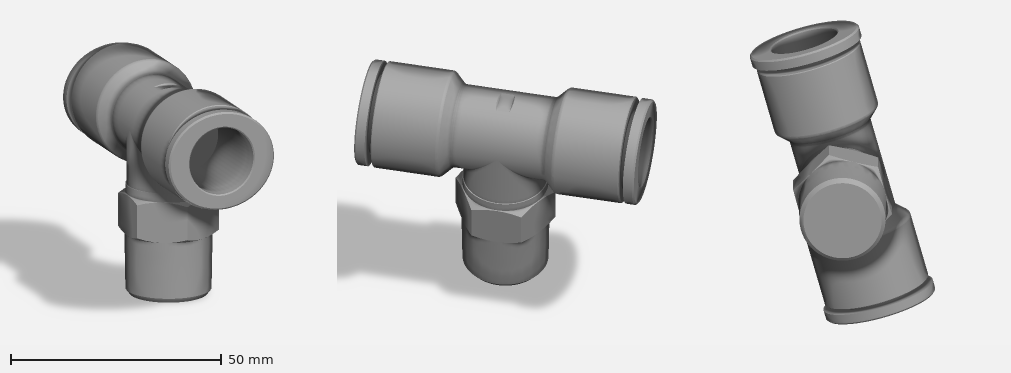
import cadquery as cq
import math

half_length = 34.0
collar_inner_x = 31.4
socket_outer_x = 30.1
cone_outer_x = 14.05
neck_radius = 10.0
socket_radius = 12.8
cone_inner_x = cone_outer_x - (socket_radius - neck_radius)
cone_fillet = 1.0
socket_rim_chamfer = 0.2

collar_width = 27.0
collar_height = 24.0
collar_chamfer = 0.4
stem_radius = 9.5

bore_radius = 8.2
bore_chamfer = 0.3
bore_floor_x = cone_inner_x

branch_end_z = -13.9
hex_top_z = -16.0
hex_bottom_z = -26.0
thread_chamfer_z = -39.8
bottom_z = -41.0
ring_radius = 10.25
hex_across_flats = 21.0
hex_corner_radius = hex_across_flats / math.sqrt(3)
hex_face_radius = hex_across_flats / 2
hex_chamfer_angle = 30.0
thread_top_radius = 10.5
thread_end_radius = 10.25
thread_tip_radius = 9.3

notch_depth = 0.5
notch_floor_length = 3.2
notch_top_length = 4.0
notch_floor_z = neck_radius - notch_depth


def x_cylinder(radius, x_start, x_end):
    """Round bar on the run axis between two X positions."""
    return cq.Workplane("YZ").workplane(offset=x_start).circle(radius).extrude(x_end - x_start)


def make_run():
    """Neck widening through rounded cones into a socket at each end."""
    profile = [
        (-socket_outer_x, 0),
        (-socket_outer_x, socket_radius),
        (-cone_outer_x, socket_radius),
        (-cone_inner_x, neck_radius),
        (cone_inner_x, neck_radius),
        (cone_outer_x, socket_radius),
        (socket_outer_x, socket_radius),
        (socket_outer_x, 0),
    ]
    run = cq.Workplane("XY").polyline(profile).close().revolve(360, (0, 0, 0), (1, 0, 0))
    run = run.faces("<X or >X").edges().chamfer(socket_rim_chamfer)
    cone_edges = cq.selectors.BoxSelector(
        (-cone_outer_x - cone_fillet, -socket_radius, -socket_radius),
        (cone_outer_x + cone_fillet, socket_radius, socket_radius),
    )
    return run.edges("%CIRCLE").edges(cone_edges).fillet(cone_fillet)


def make_collar():
    """Oval release collar with its round stem, at the +X end."""
    collar = (
        cq.Workplane("YZ")
        .workplane(offset=collar_inner_x)
        .ellipse(collar_width / 2, collar_height / 2)
        .extrude(half_length - collar_inner_x)
        .faces(">X")
        .edges()
        .chamfer(collar_chamfer)
    )
    return collar.union(x_cylinder(stem_radius, cone_outer_x, collar_inner_x))


def make_bore():
    """Blind tube bore with a chamfered mouth, at the +X end."""
    mouth_radius = bore_radius + bore_chamfer
    profile = [
        (bore_floor_x, 0),
        (bore_floor_x, bore_radius),
        (half_length - bore_chamfer, bore_radius),
        (half_length, mouth_radius),
        (half_length, 0),
    ]
    return cq.Workplane("XY").polyline(profile).close().revolve(360, (0, 0, 0), (1, 0, 0))


def make_branch():
    """Round branch, ring and tapered thread body with a chamfered tip."""
    profile = [
        (0, 0),
        (neck_radius, 0),
        (neck_radius, branch_end_z),
        (ring_radius, branch_end_z),
        (ring_radius, hex_bottom_z),
        (thread_top_radius, hex_bottom_z),
        (thread_end_radius, thread_chamfer_z),
        (thread_tip_radius, bottom_z),
        (0, bottom_z),
    ]
    return cq.Workplane("XZ").polyline(profile).close().revolve(360, (0, 0, 0), (0, 1, 0))


def make_hex():
    """Wrench hexagon with corners on X, its corners turned to a cone at both ends."""
    hexagon = (
        cq.Workplane("XY")
        .workplane(offset=hex_bottom_z)
        .polygon(6, 2 * hex_corner_radius)
        .extrude(hex_top_z - hex_bottom_z)
    )
    chamfer_drop = (hex_corner_radius - hex_face_radius) * math.tan(math.radians(hex_chamfer_angle))
    envelope = [
        (0, hex_top_z),
        (hex_face_radius, hex_top_z),
        (hex_corner_radius, hex_top_z - chamfer_drop),
        (hex_corner_radius, hex_bottom_z + chamfer_drop),
        (hex_face_radius, hex_bottom_z),
        (0, hex_bottom_z),
    ]
    turned = cq.Workplane("XZ").polyline(envelope).close().revolve(360, (0, 0, 0), (0, 1, 0))
    return hexagon.intersect(turned)


def make_notch():
    """Cutter for the crown notch: flat floor with end walls sloping outward."""
    profile = [
        (-notch_floor_length / 2, notch_floor_z),
        (notch_floor_length / 2, notch_floor_z),
        (notch_top_length / 2, neck_radius),
        (-notch_top_length / 2, neck_radius),
    ]
    return cq.Workplane("XZ").polyline(profile).close().extrude(neck_radius, both=True)


collar = make_collar()
bore = make_bore()
result = make_run().union(make_branch()).union(make_hex())
result = result.union(collar).union(collar.mirror("YZ"))
result = result.cut(bore).cut(bore.mirror("YZ")).cut(make_notch())